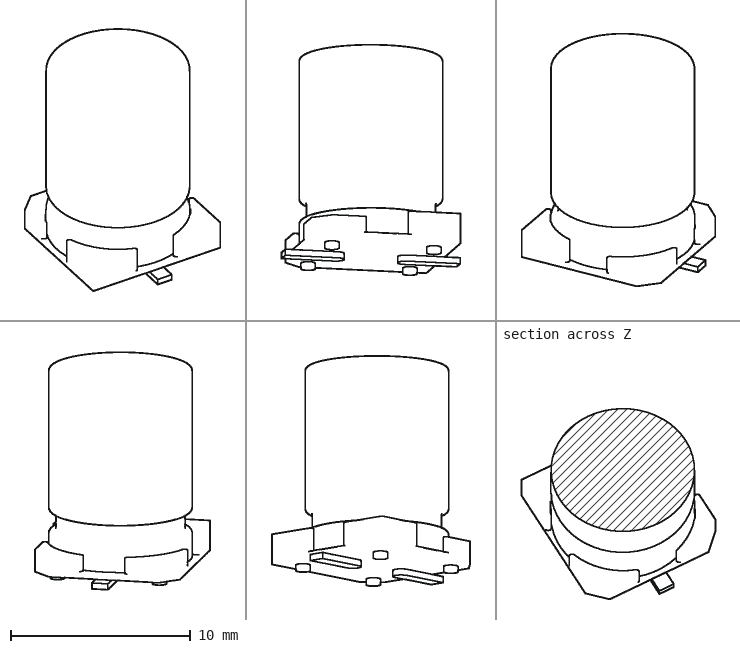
import cadquery as cq
import math

total_height = 11.5
lead_span = 10.0

base_width = 8.3
base_bottom = 0.35
low_wall_top = 1.65
high_wall_top = 2.07
corner_bevel = 1.0
edge_round = 0.03

gap_half_width = 1.2
gap_floor = 0.76
gap_corner_radius = 0.16

can_radius = 8.0 / 2
neck_radius = 7.2 / 2
seat_clearance = 0.05
rim_round = 0.17
groove_bottom = 2.23
groove_top = 3.39

lead_width = 0.92
lead_inner_end = 1.54
foot_diameter = 0.8
foot_offset = 2.91


def bevelled_block(height):
    """Square block with two bevelled corners, its upright and bottom edges finely rounded."""
    return (
        cq.Workplane("XY", origin=(0, 0, base_bottom))
        .rect(base_width, base_width)
        .extrude(height)
        .edges("|Z and <X")
        .chamfer(corner_bevel)
        .edges("|Z")
        .fillet(edge_round)
        .faces("<Z")
        .edges()
        .fillet(edge_round)
    )


def make_wall(side_x, side_y, top):
    """Corner wall of the base, hollowed for the can, with rounded ends beside the gaps."""
    half_width = base_width / 2
    length = half_width - gap_half_width
    middle = half_width - length / 2
    height = top - base_bottom
    seat_radius = can_radius + seat_clearance
    seat = cq.Workplane("XY").circle(seat_radius).extrude(total_height)
    wall = (
        cq.Workplane("XY", origin=(side_x * middle, side_y * middle, base_bottom))
        .rect(length, length)
        .extrude(height)
        .cut(seat)
    )
    seat_reach = math.sqrt(seat_radius**2 - gap_half_width**2)
    mid_height = base_bottom + height / 2
    for reach in (half_width, seat_reach):
        for x, y in ((gap_half_width, reach), (reach, gap_half_width)):
            corner = cq.selectors.NearestToPointSelector((side_x * x, side_y * y, mid_height))
            wall = wall.edges("|Z").edges(corner).fillet(gap_corner_radius)
    wall = wall.intersect(bevelled_block(height))
    return wall.faces(">Z").edges().fillet(edge_round)


def make_base():
    """Floor plate with four corner walls, the two on the -X side lower."""
    base = bevelled_block(gap_floor - base_bottom).faces(">Z").edges().fillet(edge_round)
    for side_y in (-1, 1):
        base = base.union(make_wall(-1, side_y, low_wall_top))
        base = base.union(make_wall(1, side_y, high_wall_top))
    return base


def make_can():
    """Round can with a rounded top rim and a neck groove with rounded lips and roots."""
    groove = (
        cq.Workplane("XY", origin=(0, 0, groove_bottom))
        .circle(2 * can_radius)
        .circle(neck_radius)
        .extrude(groove_top - groove_bottom)
    )
    can = (
        cq.Workplane("XY", origin=(0, 0, gap_floor))
        .circle(can_radius)
        .extrude(total_height - gap_floor)
        .cut(groove)
    )
    rims = can.edges("%CIRCLE").edges("not <Z")
    return rims.fillet(rim_round)


def make_lead():
    """Flat lead running out on the +X side, with a half-round inner end."""
    end_radius = lead_width / 2
    round_center = lead_inner_end + end_radius
    return (
        cq.Workplane("XY")
        .moveTo(lead_span / 2, -end_radius)
        .lineTo(lead_span / 2, end_radius)
        .lineTo(round_center, end_radius)
        .threePointArc((lead_inner_end, 0), (round_center, -end_radius))
        .close()
        .extrude(base_bottom)
    )


def make_feet():
    """Four round feet with finely rounded edges."""
    return (
        cq.Workplane("XY")
        .rect(2 * foot_offset, 2 * foot_offset, forConstruction=True)
        .vertices()
        .circle(foot_diameter / 2)
        .extrude(base_bottom)
        .edges("%CIRCLE")
        .fillet(edge_round)
    )


base = make_base()
lead = make_lead()
result = (
    base.union(make_can())
    .union(make_feet())
    .union(lead)
    .union(lead.mirror("YZ"))
)